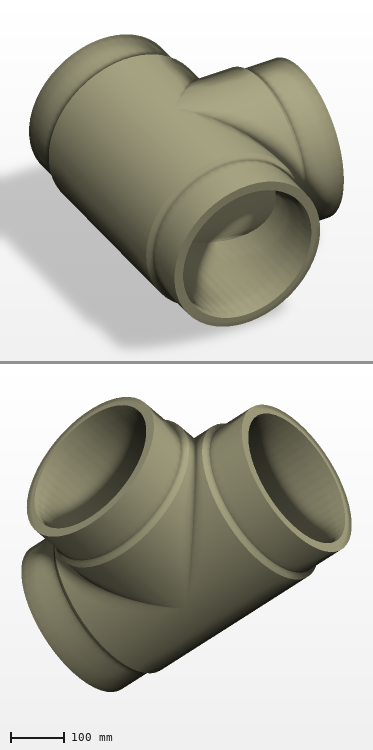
import cadquery as cq

run_length = 546.0
branch_reach = 275.0
body_diameter = 333.5
spigot_diameter = 315.0
bore_diameter = 277.5
spigot_length = 79.5
chamfer_length = 10.5

half_run = run_length / 2
body_radius = body_diameter / 2
spigot_radius = spigot_diameter / 2


def arm(direction, reach):
    """Solid stepped arm from the tee centre out to its spigot end."""
    shoulder = reach - spigot_length
    profile = (
        cq.Workplane("XY")
        .polyline([
            (0, 0),
            (body_radius, 0),
            (body_radius, shoulder - chamfer_length),
            (spigot_radius, shoulder),
            (spigot_radius, reach),
            (0, reach),
        ])
        .close()
    )
    along_y = profile.revolve(360, (0, 0, 0), (0, 1, 0))
    return along_y.rotate((0, 0, 0), (0, 0, 1), direction)


branch = arm(0, branch_reach)
left_arm = arm(90, half_run)
right_arm = arm(-90, half_run)
outer = left_arm.union(right_arm).union(branch)

run_bore = cq.Workplane("YZ").circle(bore_diameter / 2).extrude(half_run, both=True)
branch_bore = cq.Workplane("XZ").circle(bore_diameter / 2).extrude(-branch_reach)

result = outer.cut(run_bore).cut(branch_bore)